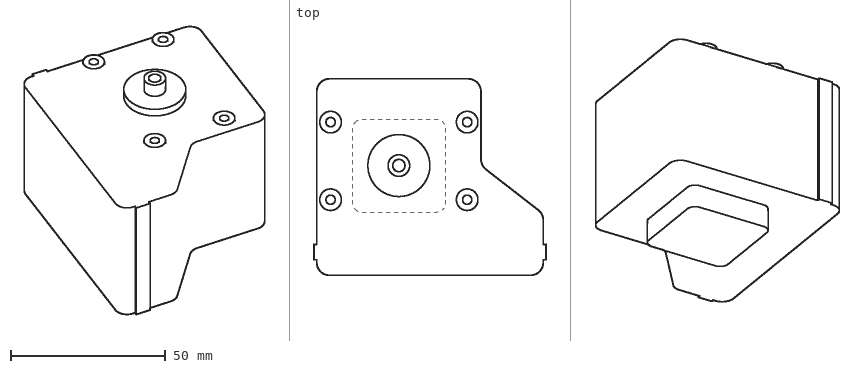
import cadquery as cq

overall_width = 75.0
overall_depth = 63.5
head_width = 53.1
rear_y = 28.05
front_y = rear_y - overall_depth
housing_height = 45.0
corner_radius = 4.2

rail_projection = 0.9
rail_length = 5.0
rail_front_offset = 5.0

left_x = -head_width / 2
neck_x = head_width / 2
right_x = left_x + overall_width - 2 * rail_projection

shoulder_inner_y = 0.0
shoulder_outer_y = -15.6

collar_diameter = 20.0
collar_height = 2.8
shaft_diameter = 7.0
shaft_height = 7.5
shaft_bore_diameter = 4.0

boss_x = 22.05
boss_rear_y = 14.0
boss_front_y = -11.0
boss_diameter = 7.0
boss_height = 1.95
boss_base_fillet = 1.0
boss_bore_diameter = 3.0
boss_bore_depth = 7.5

plug_side = 30.0
plug_height = 8.0
plug_corner_radius = 3.0


def make_housing():
    outline = [
        (left_x, front_y),
        (right_x, front_y),
        (right_x, shoulder_outer_y),
        (neck_x, shoulder_inner_y),
        (neck_x, rear_y),
        (left_x, rear_y),
    ]
    block = cq.Workplane("XY").polyline(outline).close().extrude(housing_height)
    return block.edges("|Z").fillet(corner_radius)


def make_rails():
    """One bar across the full width, whose ends stand out as the two side rails."""
    return cq.Workplane("XY").box(
        overall_width, rail_length, housing_height, centered=False
    ).translate((left_x - rail_projection, front_y + rail_front_offset, 0))


def make_plug():
    plug = cq.Workplane("XY").rect(plug_side, plug_side).extrude(-plug_height)
    return plug.edges("|Z").fillet(plug_corner_radius)


def make_disc(diameter, height):
    """Cylinder on the shaft axis, standing on the top face of the housing."""
    return cq.Workplane("XY", origin=(0, 0, housing_height)).circle(diameter / 2).extrude(height)


def make_boss():
    """Revolved boss at the origin, flaring into the top face through a concave fillet."""
    radius = boss_diameter / 2
    flare_radius = radius + boss_base_fillet
    profile = (
        cq.Workplane("XZ")
        .lineTo(flare_radius, 0)
        .radiusArc((radius, boss_base_fillet), boss_base_fillet)
        .lineTo(radius, boss_height)
        .lineTo(0, boss_height)
        .close()
    )
    return profile.revolve(360, (0, 0, 0), (0, 1, 0))


def make_bore(diameter, top_z, depth):
    return cq.Workplane("XY", origin=(0, 0, top_z)).circle(diameter / 2).extrude(-depth)


result = make_housing().union(make_rails()).union(make_plug())

result = result.union(make_disc(collar_diameter, collar_height))
result = result.union(make_disc(shaft_diameter, shaft_height))
result = result.cut(make_bore(shaft_bore_diameter, housing_height + shaft_height, shaft_height))

boss = make_boss()
boss_bore = make_bore(boss_bore_diameter, housing_height + boss_height, boss_bore_depth)
for x in (-boss_x, boss_x):
    for y in (boss_front_y, boss_rear_y):
        result = result.union(boss.translate((x, y, housing_height)))
        result = result.cut(boss_bore.translate((x, y, 0)))